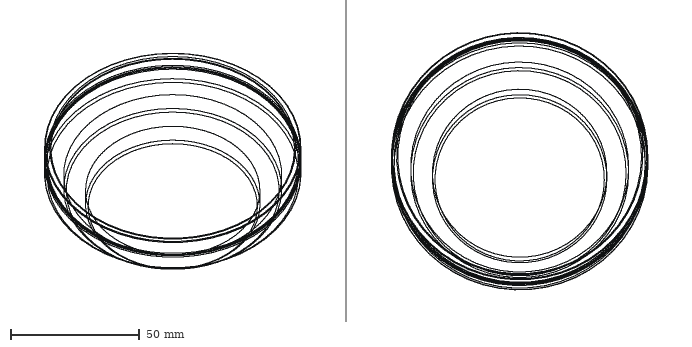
import cadquery as cq
import math

rear_radius = 34.0
rear_height = 9.0
middle_radius = 42.5
middle_height = 9.0
ring_radius = 50.0
ring_height = 16.0
step_chamfer = 1.0
rim_chamfer = 0.3

groove_depth = 1.0
groove_floor_width = 0.7
groove_edge_chamfer = 0.4
groove_center_above_ring_base = ring_height / 2

lens_radius = 47.5
lens_seat_chamfer = 0.5
lens_edge_depth = 1.0
overall_height = 44.23

middle_base = rear_height
ring_base = middle_base + middle_height
rim_top = ring_base + ring_height
lens_edge_height = rim_top - lens_edge_depth
lens_sag = overall_height - lens_edge_height
lens_sphere_radius = (lens_radius**2 + lens_sag**2) / (2 * lens_sag)


def chamfered_disc(radius, base, height, bottom_chamfer):
    """Disc on the Z axis with its lower rim chamfered."""
    disc = cq.Workplane("XY").workplane(offset=base).circle(radius).extrude(height)
    return disc.faces("<Z").edges().chamfer(bottom_chamfer)


def stepped_body():
    """Rear barrel, middle barrel and lens ring stacked along Z."""
    rear = chamfered_disc(rear_radius, 0, rear_height, step_chamfer)
    middle = chamfered_disc(middle_radius, middle_base, middle_height, step_chamfer)
    ring = chamfered_disc(ring_radius, ring_base, ring_height, step_chamfer)
    ring = ring.faces(">Z").edges().chamfer(rim_chamfer)
    return rear.union(middle).union(ring)


def ring_groove():
    """Cutter for the narrow groove with chamfered edges around the ring."""
    center = ring_base + groove_center_above_ring_base
    half_floor = groove_floor_width / 2
    half_mouth = half_floor + groove_edge_chamfer
    floor_radius = ring_radius - groove_depth
    wall_radius = ring_radius - groove_edge_chamfer
    return (
        cq.Workplane("XZ")
        .moveTo(floor_radius, center - half_floor)
        .lineTo(wall_radius, center - half_floor)
        .lineTo(ring_radius, center - half_mouth)
        .lineTo(ring_radius, center + half_mouth)
        .lineTo(wall_radius, center + half_floor)
        .lineTo(floor_radius, center + half_floor)
        .close()
        .revolve(360, (0, 0, 0), (0, 1, 0))
    )


def lens_recess():
    """Cutter for the chamfered opening inside the rim, down to the lens edge."""
    mouth_radius = lens_radius + lens_seat_chamfer
    return (
        cq.Workplane("XZ")
        .moveTo(0, lens_edge_height)
        .lineTo(lens_radius, lens_edge_height)
        .lineTo(lens_radius, rim_top - lens_seat_chamfer)
        .lineTo(mouth_radius, rim_top)
        .lineTo(0, rim_top)
        .close()
        .revolve(360, (0, 0, 0), (0, 1, 0))
    )


def lens_dome():
    """Spherical cap whose edge meets the wall of the recess."""
    mid_radius = lens_radius / 2
    mid_sag = lens_sphere_radius - math.sqrt(lens_sphere_radius**2 - mid_radius**2)
    return (
        cq.Workplane("XZ")
        .moveTo(0, lens_edge_height)
        .lineTo(lens_radius, lens_edge_height)
        .threePointArc((mid_radius, overall_height - mid_sag), (0, overall_height))
        .close()
        .revolve(360, (0, 0, 0), (0, 1, 0))
    )


result = stepped_body().cut(ring_groove()).cut(lens_recess()).union(lens_dome())